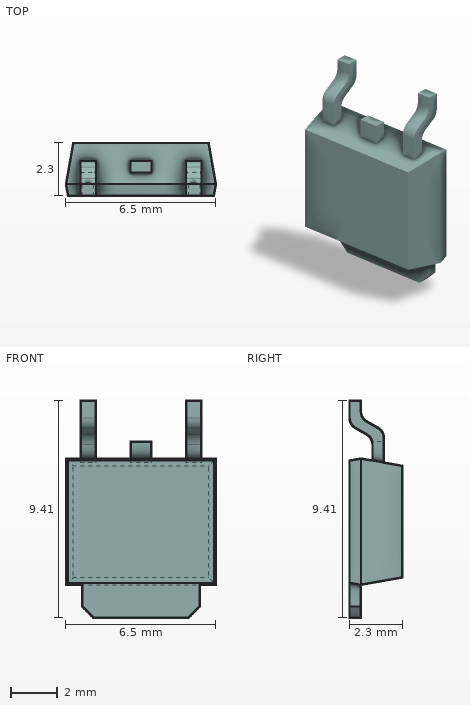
import cadquery as cq
import math

total_height = 9.41
sheet = 0.5

housing_width = 6.5
housing_depth = 2.3
housing_bottom = 1.43
housing_top = 6.91
draft = 10.0
parting_y = sheet
housing_height = housing_top - housing_bottom
housing_mid_z = (housing_top + housing_bottom) / 2

root_front_y = 2 * sheet
root_back_y = root_front_y + sheet
lead_width = 0.66
lead_spacing = 4.57
bend_radius = 0.5
ramp_angle = 30.0
ramp_mid_z = 8.08

stub_width = 0.9
stub_top = 7.64

tab_width = 5.1
tab_chamfer = 0.5

root_z = housing_top - sheet
tab_end_z = housing_bottom + sheet


def make_housing():
    """Two drafted halves meeting at the parting plane, with the cut-off middle lead as a stub."""
    front_half = (
        cq.Workplane("XZ", origin=(0, parting_y, housing_mid_z))
        .rect(housing_width, housing_height)
        .extrude(parting_y, taper=draft)
    )
    back_half = (
        cq.Workplane("XZ", origin=(0, parting_y, housing_mid_z))
        .rect(housing_width, housing_height)
        .extrude(-(housing_depth - parting_y), taper=draft)
    )
    stub = (
        cq.Workplane("XY", origin=(0, root_front_y + sheet / 2, root_z))
        .rect(stub_width, sheet)
        .extrude(stub_top - root_z)
    )
    return front_half.union(back_half).union(stub)


def make_lead(center_x, housing):
    """Lead that steps forward along a ramp so that its foot lies in the mounting plane."""
    slope = math.tan(math.radians(ramp_angle))
    half_rise = root_front_y / 2 * slope
    ramp_thickness_z = sheet / math.cos(math.radians(ramp_angle))
    back_mid_z = ramp_mid_z + ramp_thickness_z - sheet * slope
    profile = [
        (root_front_y, root_z),
        (root_front_y, ramp_mid_z - half_rise),
        (0, ramp_mid_z + half_rise),
        (0, total_height),
        (sheet, total_height),
        (sheet, back_mid_z + half_rise),
        (root_back_y, back_mid_z - half_rise),
        (root_back_y, root_z),
    ]
    lead = (
        cq.Workplane("YZ", origin=(center_x - lead_width / 2, 0, 0))
        .polyline(profile)
        .close()
        .extrude(lead_width)
    )
    bends = cq.selectors.BoxSelector(
        (center_x - lead_width, -sheet, housing_top),
        (center_x + lead_width, root_back_y + sheet, total_height - bend_radius / 2),
    )
    return lead.edges("|X").edges(bends).fillet(bend_radius).cut(housing)


def make_tab(housing):
    """Flat tab below the housing, with its two lower corners cut off."""
    return (
        cq.Workplane("XY")
        .box(tab_width, sheet, tab_end_z, centered=(True, False, False))
        .edges("|Y and <Z")
        .chamfer(tab_chamfer)
        .cut(housing)
    )


housing = make_housing()
tab = make_tab(housing)
leads = [make_lead(side * lead_spacing / 2, housing) for side in (-1, 1)]

result = cq.Compound.makeCompound(
    [housing.solids().val(), tab.solids().val(), *[lead.solids().val() for lead in leads]]
)